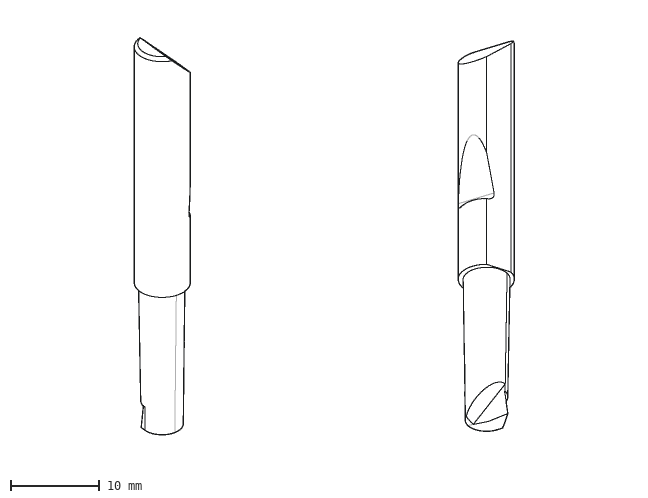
import cadquery as cq
import math

total_length = 50.8
shank_diameter = 6.35
shank_radius = shank_diameter / 2

shank_bottom = 19.05
top_chamfer = 0.4
bevel_edge_y = -1.25
flat_angle = 60.0

notch_bottom = 27.85
notch_top = 36.6
notch_floor_y = 1.9
notch_radius = 0.9

neck_root_radius = 2.7
neck_root_back = 2.55
neck_tip_radius = 2.4
end_cone_height = 0.25
end_point_x = -0.25

tooth_height = 3.35
tooth_tip_reach = 2.85
tooth_land_bottom = 0.8
tooth_land_top = 0.35
chip_floor_top = 4.25

cut_size = 2 * shank_diameter


def make_shank():
    shank = (
        cq.Workplane("XY")
        .workplane(offset=shank_bottom)
        .circle(shank_radius)
        .extrude(total_length - shank_bottom)
        .faces(">Z")
        .chamfer(top_chamfer)
    )
    return shank.cut(long_flat()).cut(end_bevel()).cut(clamping_notch())


def long_flat():
    """Slab outside the chord that starts at -X and spans flat_angle toward +Y."""
    normal_angle = 180 - flat_angle / 2
    chord_distance = shank_radius * math.cos(math.radians(flat_angle / 2))
    slab_centered = (False, True, False)
    return (
        cq.Workplane("XY")
        .box(cut_size, cut_size, total_length, centered=slab_centered)
        .translate((chord_distance, 0, 0))
        .rotate((0, 0, 0), (0, 0, 1), normal_angle)
    )


def end_bevel():
    """Wedge above the 45 degree plane that falls from the top face toward +Y."""
    return (
        cq.Workplane("YZ")
        .moveTo(bevel_edge_y, total_length)
        .lineTo(bevel_edge_y + cut_size, total_length - cut_size)
        .lineTo(bevel_edge_y + cut_size, total_length)
        .close()
        .extrude(shank_radius, both=True)
    )


def clamping_notch():
    """Notch with a flat lower wall, a round corner and a sloping floor."""
    arc_center_y = notch_floor_y + notch_radius
    arc_center_z = notch_bottom + notch_radius
    rim_dy = shank_radius - arc_center_y
    rim_dz = notch_top - arc_center_z
    rim_distance = math.hypot(rim_dy, rim_dz)
    tangent_angle = math.atan2(rim_dz, rim_dy) + math.acos(notch_radius / rim_distance)
    middle_angle = (tangent_angle + 1.5 * math.pi) / 2

    def on_corner(angle):
        return (
            arc_center_y + notch_radius * math.cos(angle),
            arc_center_z + notch_radius * math.sin(angle),
        )

    return (
        cq.Workplane("YZ")
        .moveTo(shank_radius, notch_top)
        .lineTo(*on_corner(tangent_angle))
        .threePointArc(on_corner(middle_angle), (arc_center_y, notch_bottom))
        .lineTo(shank_radius, notch_bottom)
        .close()
        .extrude(shank_radius, both=True)
    )


def make_neck():
    """Tapered neck whose front half is round and whose back half is slightly flatter."""

    def section(plane, front_radius, back_reach):
        return (
            plane.moveTo(-front_radius, 0)
            .threePointArc((0, -front_radius), (front_radius, 0))
            .threePointArc((0, back_reach), (-front_radius, 0))
            .close()
        )

    tip = section(cq.Workplane("XY"), neck_tip_radius, neck_tip_radius)
    root_plane = tip.workplane(offset=shank_bottom)
    return section(root_plane, neck_root_radius, neck_root_back).loft(ruled=True)


def tooth_space():
    """Quarter of the neck (-X, -Y) that the tooth replaces."""
    return (
        cq.Workplane("XY")
        .box(cut_size, cut_size, tooth_height, centered=False)
        .translate((-cut_size, -cut_size, 0))
    )


def make_tooth():
    """Tooth that flares outward toward the end, with a land tangent to the neck."""

    def section(plane, land, reach):
        return plane.polyline(
            [(0, 0), (0, -neck_tip_radius), (-land, -neck_tip_radius), (-reach, 0)]
        ).close()

    end = section(cq.Workplane("XY"), tooth_land_bottom, tooth_tip_reach)
    top_plane = end.workplane(offset=tooth_height)
    return section(top_plane, tooth_land_top, neck_tip_radius).loft(ruled=True)


def chip_pocket():
    """Pocket behind the rake face (y = 0), its floor sloping 45 degrees under the neck."""
    return (
        cq.Workplane("XZ")
        .moveTo(-cut_size, 0)
        .lineTo(chip_floor_top - neck_tip_radius, 0)
        .lineTo(-neck_tip_radius, chip_floor_top)
        .lineTo(-cut_size, chip_floor_top + cut_size - neck_tip_radius)
        .close()
        .extrude(-cut_size)
    )


def end_relief():
    """Ring below the shallow cone that forms the end face."""
    cone_slope = end_cone_height / neck_tip_radius
    return (
        cq.Workplane("XZ")
        .lineTo(cut_size, 0)
        .lineTo(cut_size, cut_size * cone_slope)
        .close()
        .revolve(360, (0, 0), (0, 1))
        .translate((end_point_x, 0, 0))
    )


cutting_end = make_neck().cut(tooth_space()).union(make_tooth())
cutting_end = cutting_end.cut(chip_pocket()).cut(end_relief())
result = make_shank().union(cutting_end)